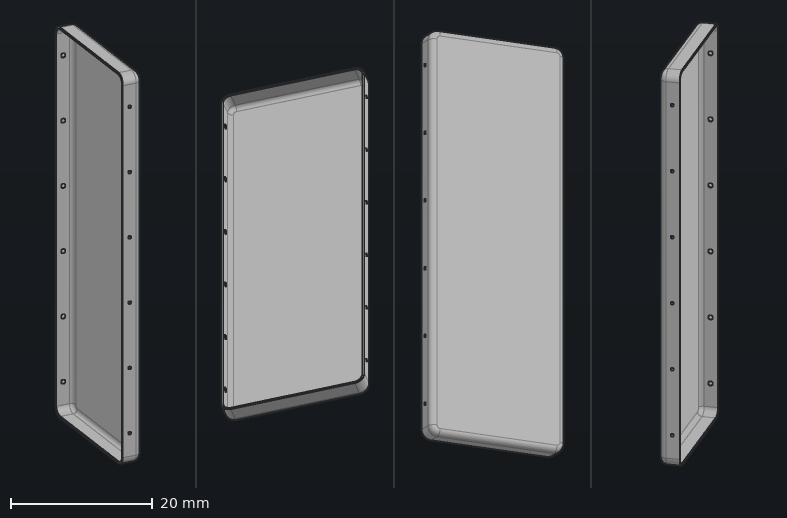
import cadquery as cq

WIDTH = 21.2
DEPTH = 3.0
HEIGHT = 59.9
WALL = 0.3

CORNER_RADIUS = 1.45
PANEL_EDGE_RADIUS = 0.95

DIMPLE_COUNT = 6
DIMPLE_PITCH = 10.0
DIMPLE_FROM_RIM = 1.1
DIMPLE_RADIUS = 0.21
BUMP_RADIUS = 0.45

RIM_Y = -DEPTH / 2
OVERCUT = 0.6


def rounded_tray(inset, front_y):
    """Solid with rounded corners and a rounded +Y panel edge, offset inward by inset."""
    back_y = DEPTH / 2 - inset
    length = back_y - front_y
    return (
        cq.Workplane("XY")
        .box(WIDTH - 2 * inset, length, HEIGHT - 2 * inset)
        .translate((0, (front_y + back_y) / 2, 0))
        .edges("|Y")
        .fillet(CORNER_RADIUS - inset)
        .faces(">Y")
        .edges()
        .fillet(PANEL_EDGE_RADIUS - inset)
    )


def dimple_balls(radius):
    """Balls centred on the outer faces of both long walls, one per dimple."""
    dimple_y = RIM_Y + DIMPLE_FROM_RIM
    first_z = -DIMPLE_PITCH * (DIMPLE_COUNT - 1) / 2
    centres = [
        (side * WIDTH / 2, dimple_y, first_z + i * DIMPLE_PITCH)
        for side in (-1, 1)
        for i in range(DIMPLE_COUNT)
    ]
    return cq.Workplane("XY").pushPoints(centres).sphere(radius, direct=(1, 0, 0))


outer = rounded_tray(0, RIM_Y)
cavity = rounded_tray(WALL, RIM_Y - OVERCUT)
shell = outer.cut(cavity)

bumps = dimple_balls(BUMP_RADIUS).intersect(outer)
result = shell.union(bumps).cut(dimple_balls(DIMPLE_RADIUS))